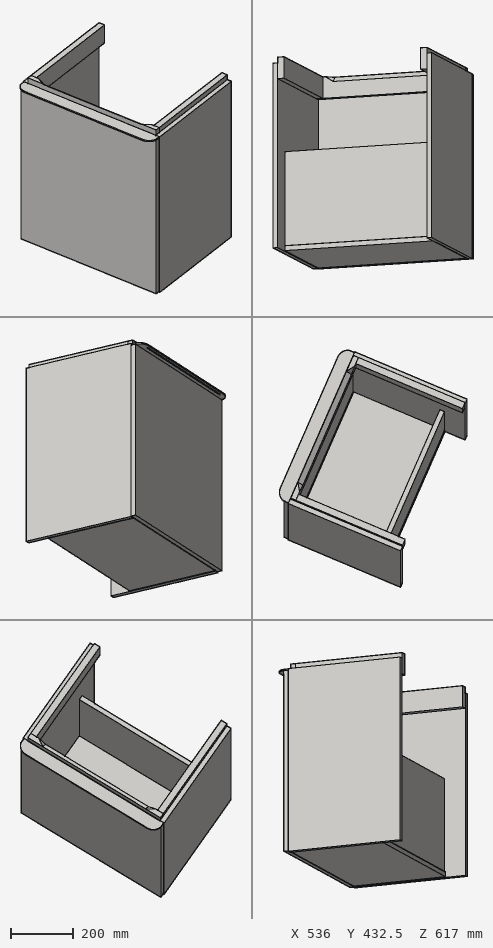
import cadquery as cq

width = 536.0
depth = 389.5
height = 617.0
board = 16.0
rail_rise = 18.5
side_height = height - rail_rise
inner_width = width - 2 * board
reveal = 2.5

rail_width = 21.5
rail_height = 70.0
front_rail_depth = 17.0
front_rail_back = reveal + front_rail_depth

bevel_drop = 17.0
bevel_floor_length = 391.0
bevel_end_run = 26.5

handle_reach = 43.0
handle_thickness = 5.0
handle_corner_x = 34.5
handle_corner_y = 24.5
handle_width = width - 2 * reveal
lip_drop = 2.5
lip_thickness = 2.0
lip_setback = 8.0
lip_length = 445.5

rear_panel_top = 323.0
bottom_back = 320.0


def box(x_size, y_size, z_size, y_front, z_bottom, x_middle=0):
    """Board centred on x_middle, with its front and lower faces at the given places."""
    solid = cq.Workplane("XY").box(x_size, y_size, z_size, centered=(True, False, False))
    return solid.translate((x_middle, y_front, z_bottom))


def make_side_panel(side):
    return box(board, depth, side_height, 0, 0, side * (width - board) / 2)


def make_side_rail(side):
    length = depth - front_rail_back
    x_middle = side * (inner_width - rail_width) / 2
    return box(rail_width, length, rail_height, front_rail_back, height - rail_height, x_middle)


def make_bevel_cutter():
    """Wedge whose ends slope outwards to a point at the rear top edge."""
    floor_half = bevel_floor_length / 2
    top_half = floor_half + bevel_end_run
    left_rear = cq.Vector(-top_half, front_rail_back, height)
    right_rear = cq.Vector(top_half, front_rail_back, height)
    left_front = cq.Vector(-floor_half, reveal, height)
    right_front = cq.Vector(floor_half, reveal, height)
    left_low = cq.Vector(-floor_half, front_rail_back, height - bevel_drop)
    right_low = cq.Vector(floor_half, front_rail_back, height - bevel_drop)
    outlines = [
        [left_rear, left_front, right_front, right_rear],
        [left_rear, right_rear, right_low, left_low],
        [left_front, left_low, right_low, right_front],
        [left_rear, left_low, left_front],
        [right_rear, right_front, right_low],
    ]
    faces = [cq.Face.makeFromWires(cq.Wire.makePolygon(points, close=True)) for points in outlines]
    return cq.Workplane(cq.Solid.makeSolid(cq.Shell.makeShell(faces)))


def make_front_rail():
    rail = box(inner_width, front_rail_depth, rail_height, reveal, height - rail_height)
    return rail.cut(make_bevel_cutter()).solids()


def make_handle():
    plate_bottom = side_height - handle_thickness
    side_x = handle_width / 2
    tangent_x = side_x - handle_corner_x
    corner_end_y = -handle_reach + handle_corner_y
    corner_radius = (handle_corner_x**2 + handle_corner_y**2) / (2 * handle_corner_y)
    plate = (
        cq.Workplane("XY", origin=(0, 0, plate_bottom))
        .moveTo(-side_x, 0)
        .lineTo(-side_x, corner_end_y)
        .radiusArc((-tangent_x, -handle_reach), -corner_radius)
        .lineTo(tangent_x, -handle_reach)
        .radiusArc((side_x, corner_end_y), -corner_radius)
        .lineTo(side_x, 0)
        .close()
        .extrude(handle_thickness)
    )
    lip_front = -handle_reach + lip_setback
    lip_height = lip_drop + handle_thickness
    lip = box(lip_length, lip_thickness, lip_height, lip_front, plate_bottom - lip_drop)
    return plate.union(lip).solids()


def make_door():
    door_height = side_height - handle_thickness - reveal
    return box(handle_width, board, door_height, -board, reveal)


def make_bottom_panel():
    return box(inner_width, bottom_back - reveal, board, reveal, reveal)


def make_rear_panel():
    z_bottom = reveal + board
    y_front = bottom_back - reveal - board
    return box(inner_width, board, rear_panel_top - z_bottom, y_front, z_bottom)


side_panels = [make_side_panel(side) for side in (-1, 1)]
side_rails = [make_side_rail(side) for side in (-1, 1)]
front_rail = make_front_rail()
handle = make_handle()
door = make_door()
bottom_panel = make_bottom_panel()
rear_panel = make_rear_panel()

result = cq.Compound.makeCompound([
    *[panel.val() for panel in side_panels],
    *[rail.val() for rail in side_rails],
    front_rail.val(),
    handle.val(),
    door.val(),
    bottom_panel.val(),
    rear_panel.val(),
])